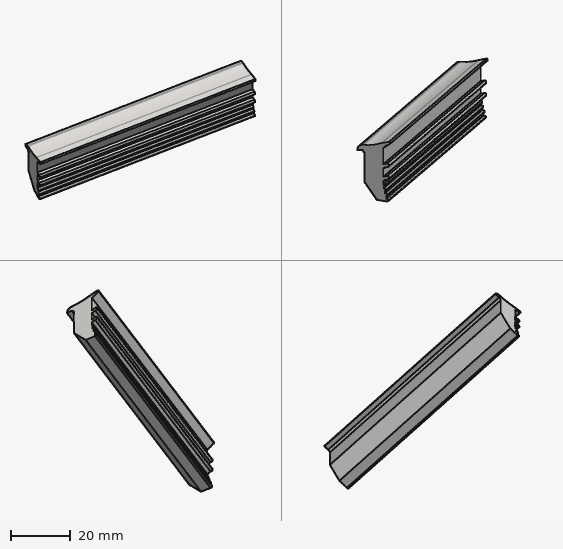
import cadquery as cq

length = 80.0
width = 12.2
height = 21.9

front_x = 2.6
back_x = 9.6
bevel_top_z = 5.8
foot_x = 7.2

lip_bottom_z = 16.9
lip_arc_end = (1.7, 19.0)
lip_top = (2.1, 19.1)
lip_bulge = (0.6, 18.4)
lip_under = (1.8, 17.1)
lip_corner_bulge = (2.3, 16.6)
lip_root_z = 16.2

concave_middle = (5.4, 19.7)
concave_end = (8.6, 20.8)
fin_top_x = 11.8
fin_tip_drop = 0.4
fin_under = (12.0, 21.1)
fin_root_z = 19.3

rib_root_tops = (13.4, 8.8)
rib_reach = 2.0
rib_shoulder = 1.5
rib_rise = 0.6
rib_root_height = 1.5
rib_tip_rise = 0.1
rib_under_x = 1.2
rib_under_drop = 0.8

tooth_tip_heights = (5.7, 4.2, 2.5, 0.6)
first_tip_x = 10.1
tooth_step_x = 0.5
tooth_half_height = 0.4
tooth_round_depth = 0.3
tooth_depth = 0.9
valley_half_height = 0.5
toe_x = 10.8


def add_rib(outline, root_top):
    """Continue the outline down around one upward-tilted rib."""
    return (
        outline.lineTo(back_x, root_top)
        .lineTo(back_x + rib_shoulder, root_top + rib_rise)
        .threePointArc(
            (back_x + rib_reach, root_top + rib_tip_rise),
            (back_x + rib_under_x, root_top - rib_under_drop),
        )
        .lineTo(back_x, root_top - rib_root_height)
    )


def add_tooth(outline, index, tip_z):
    """Continue the outline down around one tooth and into the next valley."""
    tip_x = first_tip_x + index * tooth_step_x
    root_x = max(back_x, tip_x - tooth_depth)
    shoulder_x = tip_x - tooth_round_depth
    outline = (
        outline.lineTo(root_x, tip_z + valley_half_height)
        .lineTo(shoulder_x, tip_z + tooth_half_height)
        .threePointArc((tip_x, tip_z), (shoulder_x, tip_z - tooth_half_height))
    )
    is_last = index == len(tooth_tip_heights) - 1
    if is_last:
        return outline.lineTo(toe_x, 0)
    next_root_x = max(back_x, tip_x + tooth_step_x - tooth_depth)
    return outline.lineTo(next_root_x, tip_z - valley_half_height)


profile = (
    cq.Workplane("XZ", origin=(0, length / 2, 0))
    .moveTo(0, lip_bottom_z)
    .threePointArc(lip_bulge, lip_arc_end)
    .lineTo(*lip_top)
    .threePointArc(concave_middle, concave_end)
    .lineTo(fin_top_x, height)
    .threePointArc((width, height - fin_tip_drop), fin_under)
    .lineTo(back_x, fin_root_z)
)
for root_top in rib_root_tops:
    profile = add_rib(profile, root_top)
for index, tip_z in enumerate(tooth_tip_heights):
    profile = add_tooth(profile, index, tip_z)
profile = (
    profile.lineTo(foot_x, 0)
    .lineTo(front_x, bevel_top_z)
    .lineTo(front_x, lip_root_z)
    .threePointArc(lip_corner_bulge, lip_under)
    .close()
)

result = profile.extrude(length)